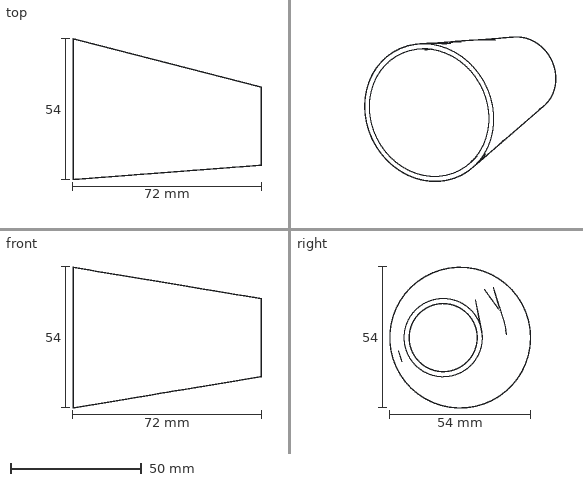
import cadquery as cq

length = 72.0
wall = 2.0
large_bore_diameter = 50.0
small_bore_diameter = 26.0
small_end_offset_y = -6.5


def eccentric_cone(large_diameter, small_diameter):
    """Solid between a circle at X = 0 and a smaller, shifted circle at X = length."""
    return (
        cq.Workplane("YZ")
        .circle(large_diameter / 2)
        .workplane(offset=length)
        .center(small_end_offset_y, 0)
        .circle(small_diameter / 2)
        .loft(ruled=True, combine=True)
    )


outer_body = eccentric_cone(large_bore_diameter + 2 * wall, small_bore_diameter + 2 * wall)
bore = eccentric_cone(large_bore_diameter, small_bore_diameter)

result = outer_body.cut(bore)